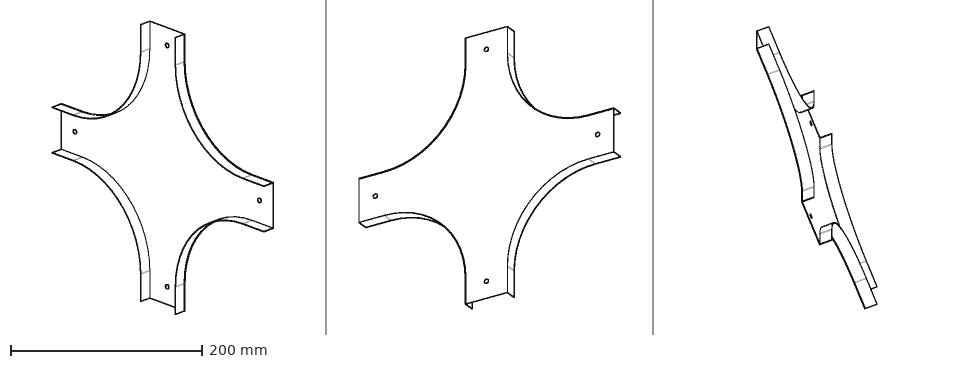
import cadquery as cq
import math

span = 312.0
arm_width = 52.0
height = 14.0
thickness = 0.8
straight_length = 31.0
hole_diameter = 5.0
hole_edge_distance = 20.0

half_span = span / 2
arc_center = half_span - straight_length
hole_offset = half_span - hole_edge_distance
plate_back_y = height / 2

arm_directions = ((1, 0), (0, 1), (-1, 0), (0, -1))


def arm_point(direction, along, across):
    """(X, Z) of a point given by its distances along and across an arm."""
    ux, uz = direction
    return (along * ux - across * uz, along * uz + across * ux)


def cross_prism(half_width, back_y, depth):
    """Four-armed cross with concave rounded corners, extruded from back_y toward -Y."""
    radius = arc_center - half_width
    arc_mid = arc_center - radius * math.sqrt(0.5)
    outline = cq.Workplane("XZ", origin=(0, back_y, 0)).moveTo(half_span, -half_width)

    for direction in arm_directions:
        outline = (
            outline.lineTo(*arm_point(direction, half_span, half_width))
            .lineTo(*arm_point(direction, arc_center, half_width))
            .threePointArc(
                arm_point(direction, arc_mid, arc_mid),
                arm_point(direction, half_width, arc_center),
            )
            .lineTo(*arm_point(direction, half_width, half_span))
        )
    return outline.close().extrude(depth)


def channel_space():
    """Space between the side walls, in front of the plate."""
    inner_half_width = arm_width / 2 - thickness
    return cross_prism(inner_half_width, plate_back_y - thickness, height)


def tip_holes():
    """One hole through the plate near the tip of each arm."""
    return (
        cq.Workplane("XZ", origin=(0, plate_back_y, 0))
        .polarArray(hole_offset, 0, 360, len(arm_directions))
        .circle(hole_diameter / 2)
        .extrude(thickness)
    )


body = cross_prism(arm_width / 2, plate_back_y, height)
result = body.cut(channel_space()).cut(tip_holes())